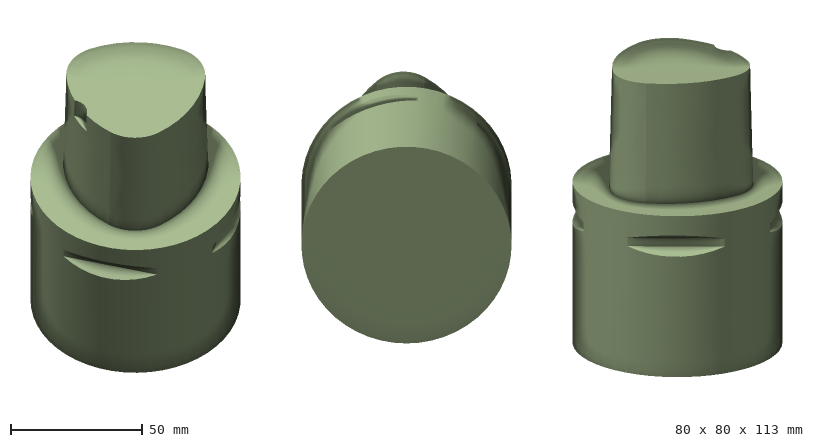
import math
import cadquery as cq

total_height = 113.0
body_diameter = 80.0
body_height = 65.0

lobe_reach = 29.4
side_reach = 25.4
lobe_radius = 16.7
lobe_angles = (90, 210, 330)
lobe_pitch = 360 / len(lobe_angles)
taper_per_side = 1 / 40
shank_height = total_height - body_height

groove_height = 52.9
groove_floor_distance = 35.5
groove_floor_width = 3.4
groove_flank_angle = 30.0
groove_angles = (45, 135, 225, 315)
cut_margin = 1.1

notch_radius = 6.7
notch_bottom = 22.0
notch_height = 8.2


def polar(radius, angle):
    radians = math.radians(angle)
    return radius * math.cos(radians), radius * math.sin(radians)


def shank_profile(height, inset):
    """Closed wire of six tangent arcs, moved inwards by inset."""
    lobe_offset = lobe_reach - lobe_radius
    side_gap = side_reach - lobe_radius
    side_offset = (lobe_offset**2 - side_gap**2) / (2 * side_gap - lobe_offset)
    side_radius = side_reach + side_offset
    lobe_sweep = math.degrees(
        math.asin(side_offset * math.sin(math.radians(lobe_pitch / 2)) / (side_radius - lobe_radius))
    )

    def lobe_point(axis_angle, turn):
        centre = polar(lobe_offset, axis_angle)
        arm = polar(lobe_radius - inset, axis_angle + turn)
        return cq.Vector(centre[0] + arm[0], centre[1] + arm[1], height)

    edges = []
    for axis_angle in lobe_angles:
        start = lobe_point(axis_angle, -lobe_sweep)
        tip = lobe_point(axis_angle, 0)
        end = lobe_point(axis_angle, lobe_sweep)
        side_middle = cq.Vector(*polar(side_reach - inset, axis_angle + lobe_pitch / 2), height)
        next_start = lobe_point(axis_angle + lobe_pitch, -lobe_sweep)
        edges.append(cq.Edge.makeThreePointArc(start, tip, end))
        edges.append(cq.Edge.makeThreePointArc(end, side_middle, next_start))
    return cq.Wire.assembleEdges(edges)


def make_shank():
    root = shank_profile(body_height, 0)
    tip = shank_profile(total_height, shank_height * taper_per_side)
    return cq.Workplane(cq.Solid.makeLoft([root, tip], True))


def make_groove(angle):
    """Trapezoidal bar that cuts a straight groove facing the given angle."""
    outer_distance = body_diameter / 2 + cut_margin
    flank_rise = (outer_distance - groove_floor_distance) * math.tan(math.radians(groove_flank_angle))
    floor_half = groove_floor_width / 2
    outer_half = floor_half + flank_rise
    return (
        cq.Workplane("XZ")
        .polyline([
            (groove_floor_distance, groove_height - floor_half),
            (outer_distance, groove_height - outer_half),
            (outer_distance, groove_height + outer_half),
            (groove_floor_distance, groove_height + floor_half),
        ])
        .close()
        .extrude(body_diameter / 2, both=True)
        .rotate((0, 0, 0), (0, 0, 1), angle)
    )


def make_notch():
    return (
        cq.Workplane("XY", origin=(0, -(notch_bottom + notch_radius), total_height - notch_height))
        .circle(notch_radius)
        .extrude(notch_height)
    )


body = cq.Workplane("XY").circle(body_diameter / 2).extrude(body_height)
for groove_angle in groove_angles:
    body = body.cut(make_groove(groove_angle))

result = body.union(make_shank()).cut(make_notch())